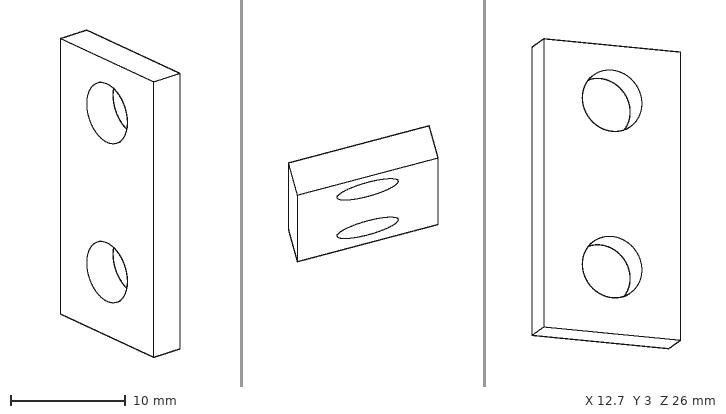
import cadquery as cq

width = 12.7
thickness = 3.0
height = 26.0

hole_diameter = 5.5
hole_spacing = 15.0
top_hole_margin = 5.0

upper_hole_z = height / 2 - top_hole_margin
lower_hole_z = upper_hole_z - hole_spacing

plate = cq.Workplane("XY").box(width, thickness, height)

result = (
    plate.faces("<Y")
    .workplane(origin=(0, 0, 0))
    .pushPoints([(0, upper_hole_z), (0, lower_hole_z)])
    .hole(hole_diameter)
)